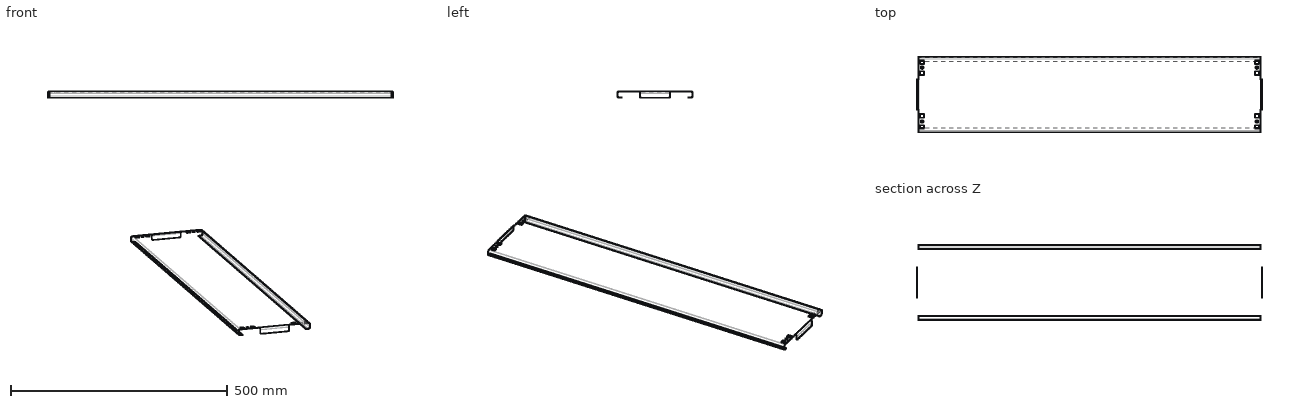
import cadquery as cq

LENGTH = 799.0
WIDTH = 175.0
HEIGHT = 15.0
SHEET = 1.2

RAIL_BEND = 5.0
LIP_REACH = 10.0

TAB_WIDTH = 70.0
TAB_CORNER = 3.0
TAB_BEND = 4.4
TAB_OVERHANG = 3.6

HOLE_INSET = 9.0
SQUARE = 8.0
OUTER_SQUARE_Y = 75.0
ROUND_HOLE_Y = 62.0
ROUND_HOLE_DIAMETER = 5.5
NOTCH_NEAR_Y = 45.5
SLIT_WIDTH = 2.0

panel_length = LENGTH - 2 * TAB_OVERHANG


def make_channel():
    """Flat panel with a C-shaped rail along both long sides."""
    outer = (
        cq.Workplane("YZ", origin=(-panel_length / 2, 0, 0))
        .rect(WIDTH, HEIGHT)
        .extrude(panel_length)
        .edges("|X")
        .fillet(RAIL_BEND)
    )
    inner = (
        cq.Workplane("YZ", origin=(-panel_length / 2, 0, 0))
        .rect(WIDTH - 2 * SHEET, HEIGHT - 2 * SHEET)
        .extrude(panel_length)
        .edges("|X")
        .fillet(RAIL_BEND - SHEET)
    )
    opening = cq.Workplane("XY").box(LENGTH, WIDTH - 2 * LIP_REACH, HEIGHT / 2, centered=(True, True, False))
    return outer.cut(inner).cut(opening.translate((0, 0, -HEIGHT / 2))).translate((0, 0, HEIGHT / 2))


def make_tab():
    """Tab bent down from the right end of the panel."""
    outside = LENGTH / 2
    inside = outside - SHEET
    bend_center = outside - TAB_BEND
    profile = (
        cq.Workplane("XZ")
        .moveTo(bend_center, HEIGHT)
        .radiusArc((outside, HEIGHT - TAB_BEND), TAB_BEND)
        .lineTo(outside, 0)
        .lineTo(inside, 0)
        .lineTo(inside, HEIGHT - TAB_BEND)
        .radiusArc((bend_center, HEIGHT - SHEET), -(TAB_BEND - SHEET))
        .close()
    )
    tab = profile.extrude(TAB_WIDTH / 2, both=True)
    return tab.faces("<Z").edges("|X").fillet(TAB_CORNER)


def cut_corner(body, end_x, inward, side):
    """Cut the square, round hole, notch and relief slit at one panel corner."""
    hole_x = end_x + inward * HOLE_INSET
    notch_y = NOTCH_NEAR_Y + SQUARE / 2
    slit_y = NOTCH_NEAR_Y + SLIT_WIDTH / 2

    def cutter(x, y):
        return cq.Workplane("XY", origin=(x, side * y, HEIGHT - 2 * SHEET))

    depth = 3 * SHEET
    body = body.cut(cutter(hole_x, OUTER_SQUARE_Y).rect(SQUARE, SQUARE).extrude(depth))
    body = body.cut(cutter(hole_x, ROUND_HOLE_Y).circle(ROUND_HOLE_DIAMETER / 2).extrude(depth))
    body = body.cut(cutter(hole_x, notch_y).rect(SQUARE, SQUARE).extrude(depth))
    slit_x = end_x + inward * HOLE_INSET / 2
    return body.cut(cutter(slit_x, slit_y).rect(HOLE_INSET, SLIT_WIDTH).extrude(depth))


right_tab = make_tab()
left_tab = right_tab.mirror("YZ")
result = make_channel().union(right_tab).union(left_tab)
for end_x, inward in ((-panel_length / 2, 1), (panel_length / 2, -1)):
    for side in (-1, 1):
        result = cut_corner(result, end_x, inward, side)